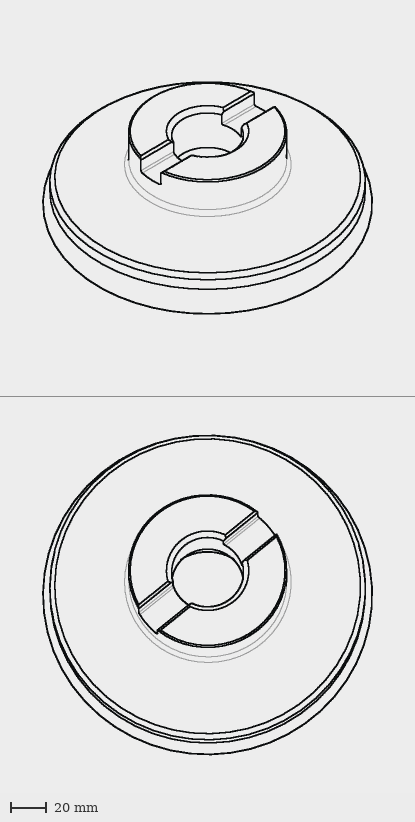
import cadquery as cq
import math

total_height = 63.0
outer_radius = 91.6

tyre_section_radius = 12.0
tyre_centre_radius = outer_radius - tyre_section_radius

rim_radius = 175.5 / 2
rim_top_z = 27.5
shoulder_radius = 85.0
shoulder_z = 30.2
hub_radius = 88.0 / 2
hub_fillet = 3.1
cone_angle = math.radians(13.6)
hub_top_chamfer = 1.0

bore_radius = 40.0 / 2
bore_chamfer = 3.0
counterbore_radius = 56.0 / 2
counterbore_depth = 35.5

slot_width = 16.1
slot_depth = 9.9
slot_mouth_chamfer = 1.5
slot_corner_radius = 1.1
slot_overrun = 1.8


def make_tyre():
    """Full ring that fills the groove around the wheel."""
    return (
        cq.Workplane("XZ")
        .center(tyre_centre_radius, tyre_section_radius)
        .circle(tyre_section_radius)
        .revolve(360, (-tyre_centre_radius, 0), (-tyre_centre_radius, 1))
    )


def make_wheel_blank():
    """Turned wheel whose lower edge is hollowed by the tyre seat."""
    rim_offset = rim_radius - tyre_centre_radius
    seat_top_z = tyre_section_radius + math.sqrt(tyre_section_radius**2 - rim_offset**2)
    seat_inner_radius = tyre_centre_radius - tyre_section_radius
    hub_foot_radius = hub_radius + hub_fillet * (1 - math.sin(cone_angle))
    hub_foot_z = shoulder_z + (shoulder_radius - hub_foot_radius) * math.tan(cone_angle)
    fillet_top_z = hub_foot_z + hub_fillet * math.cos(cone_angle)
    bore_mouth_radius = bore_radius + bore_chamfer
    return (
        cq.Workplane("XZ")
        .moveTo(bore_radius, counterbore_depth)
        .lineTo(counterbore_radius, counterbore_depth)
        .lineTo(counterbore_radius, 0)
        .lineTo(tyre_centre_radius, 0)
        .threePointArc((seat_inner_radius, tyre_section_radius), (rim_radius, seat_top_z))
        .lineTo(rim_radius, rim_top_z)
        .lineTo(shoulder_radius, shoulder_z)
        .lineTo(hub_foot_radius, hub_foot_z)
        .tangentArcPoint((hub_radius, fillet_top_z), relative=False)
        .lineTo(hub_radius, total_height - hub_top_chamfer)
        .lineTo(hub_radius - hub_top_chamfer, total_height)
        .lineTo(bore_mouth_radius, total_height)
        .lineTo(bore_radius, total_height - bore_chamfer)
        .close()
        .revolve(360, (0, 0), (0, 1))
    )


def make_slot_cutter():
    """Slot with rounded floor corners and a chamfered mouth."""
    slot_length = 2 * (hub_radius + slot_overrun)
    half_width = slot_width / 2
    mouth_half_width = half_width + slot_mouth_chamfer
    floor_z = total_height - slot_depth
    channel = (
        cq.Workplane("XY", origin=(0, 0, floor_z))
        .box(slot_width, slot_length, slot_depth, centered=(True, True, False))
        .edges("|Y and <Z")
        .fillet(slot_corner_radius)
    )
    mouth = (
        cq.Workplane("XZ", origin=(0, slot_length / 2, 0))
        .moveTo(-half_width, total_height - slot_mouth_chamfer)
        .lineTo(half_width, total_height - slot_mouth_chamfer)
        .lineTo(mouth_half_width, total_height)
        .lineTo(-mouth_half_width, total_height)
        .close()
        .extrude(slot_length)
    )
    return channel.union(mouth)


tyre = make_tyre()
wheel = make_wheel_blank().cut(make_slot_cutter())

result = cq.Compound.makeCompound([wheel.val(), tyre.val()])